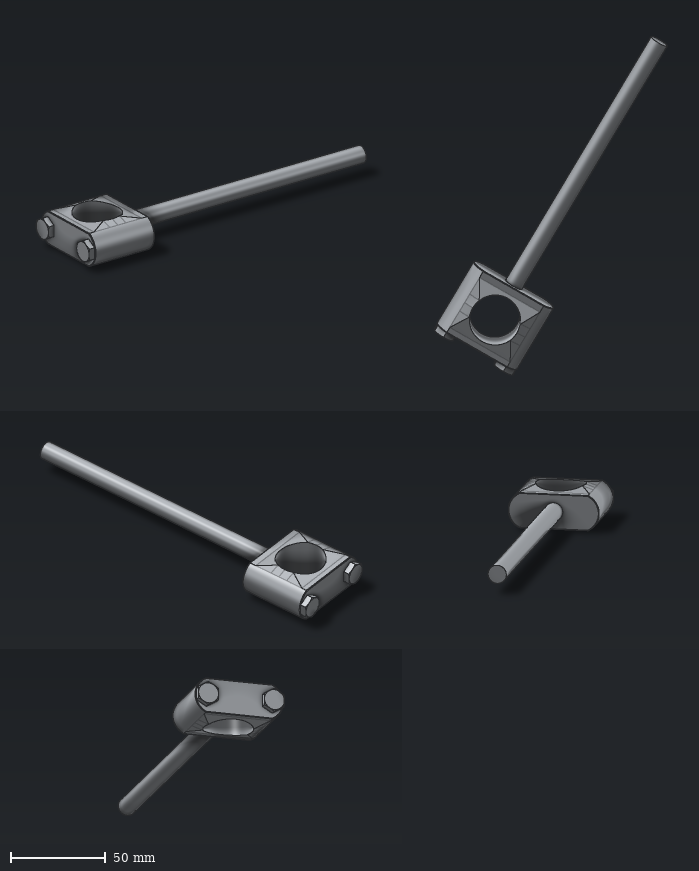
import cadquery as cq

overall_length = 194.7
body_width = 49.0
body_depth = 38.7
body_height = 19.0
flat_half_width = 18.5
end_chamfer = 0.4

peak_height = 22.8
pad_half_depth = 15.5
peak_x = 12.7
peak_y = 5.3

bore_diameter = 26.9
bore_shift = 0.4
rod_diameter = 10.0

head_across_flats = 11.0
head_height = 3.7
bolt_x = 18.3
head_chamfer_slope = 0.5

body_back = body_depth / 2 + bore_shift
body_front = body_back - body_depth
rod_length = overall_length - body_depth - head_height
half_height = body_height / 2
pad_rise = (peak_height - body_height) / 2


def make_body():
    """Block with flat top and bottom and arched left and right sides."""
    half_width = body_width / 2
    profile = (
        cq.Workplane("XZ", origin=(0, body_back, 0))
        .moveTo(-flat_half_width, half_height)
        .lineTo(flat_half_width, half_height)
        .threePointArc((half_width, 0), (flat_half_width, -half_height))
        .lineTo(-flat_half_width, -half_height)
        .threePointArc((-half_width, 0), (-flat_half_width, half_height))
        .close()
    )
    return profile.extrude(body_depth).faces("<Y or >Y").chamfer(end_chamfer)


def make_pad():
    """Low frustum on the top face; its four slopes rise towards the bore."""
    return (
        cq.Workplane("XY", origin=(0, 0, half_height))
        .rect(2 * flat_half_width, 2 * pad_half_depth)
        .workplane(offset=pad_rise)
        .rect(2 * peak_x, 2 * peak_y)
        .loft(ruled=True)
    )


def make_saddle():
    """Ridge across the pad beside the bore, its twisted sides rising level with the bore rim."""
    rim_x = bore_diameter / 2
    peak_z = half_height + pad_rise

    def section(crest_x):
        return [
            (-flat_half_width, half_height),
            (-crest_x, peak_z),
            (crest_x, peak_z),
            (flat_half_width, half_height),
        ]

    return (
        cq.Workplane("XZ", origin=(0, peak_y, 0))
        .polyline(section(peak_x))
        .close()
        .workplane(offset=peak_y)
        .polyline(section(rim_x))
        .close()
        .workplane(offset=peak_y)
        .polyline(section(peak_x))
        .close()
        .loft(ruled=True)
    )


def make_bore():
    """Cutter for the round hole through the body and both pads."""
    return (
        cq.Workplane("XY", origin=(0, 0, -peak_height / 2))
        .circle(bore_diameter / 2)
        .extrude(peak_height)
    )


def make_rod():
    """Round rod standing out of the back face."""
    return (
        cq.Workplane("XZ", origin=(0, body_back, 0))
        .circle(rod_diameter / 2)
        .extrude(-rod_length)
    )


def make_bolt_head(x):
    """Hexagon head on the front face, its corners up and down, rim turned off."""
    across_corners = head_across_flats * 2 / 3**0.5
    face_radius = head_across_flats / 2
    rim_width = across_corners / 2 - face_radius
    rim_drop = rim_width * head_chamfer_slope
    plane = cq.Workplane("XZ", origin=(x, body_front, 0))
    head = (
        plane.transformed(rotate=(0, 0, 90))
        .polygon(6, across_corners)
        .extrude(head_height)
    )
    turned_blank = (
        plane.circle(across_corners / 2)
        .extrude(head_height)
        .faces("<Y")
        .chamfer(rim_drop, rim_width)
    )
    return head.intersect(turned_blank)


pad = make_pad().union(make_saddle())
result = make_body().union(pad).union(pad.mirror("XY"))
result = result.cut(make_bore())
result = result.union(make_rod())
for side in (-1, 1):
    result = result.union(make_bolt_head(side * bolt_x))